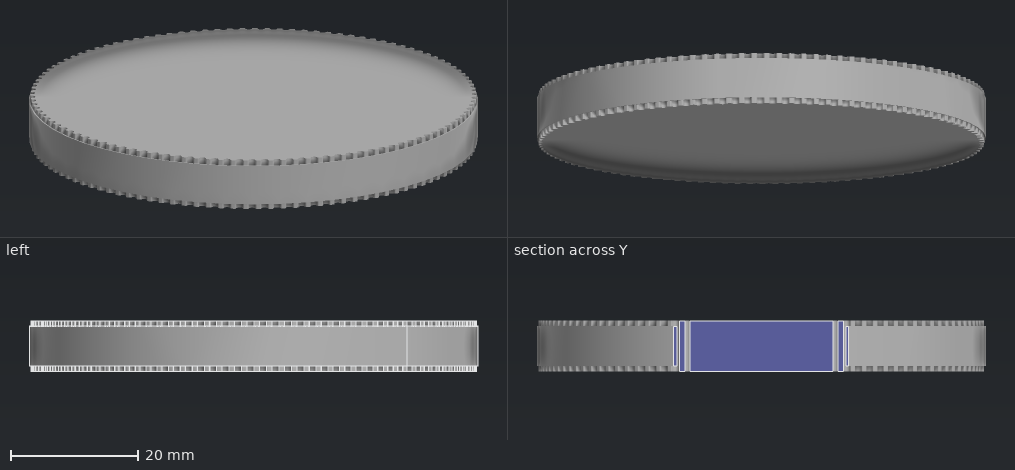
import cadquery as cq
import math

band_diameter = 70.65
band_thickness = 0.255
pulley_height = 8.0
rim_height = 0.85

tooth_count = 111
root_diameter = 68.7
groove_root_radius = 0.55
tip_fillet = 0.2

band_radius = band_diameter / 2
tip_radius = band_radius - band_thickness
root_radius = root_diameter / 2
band_height = pulley_height - 2 * rim_height
pitch_angle = 2 * math.pi / tooth_count
first_groove_angle = -math.pi / 2


def polar(radius, angle):
    return (radius * math.cos(angle), radius * math.sin(angle))


def place(radial, sideways, groove_angle):
    """Turn a point given relative to a groove's centre line into X, Y."""
    return polar(math.hypot(radial, sideways), groove_angle + math.atan2(sideways, radial))


root_centre = root_radius + groove_root_radius
fillet_side = groove_root_radius + tip_fillet
fillet_centre = math.sqrt((tip_radius - tip_fillet) ** 2 - fillet_side ** 2)
land_start_angle = math.atan2(fillet_side, fillet_centre)
fillet_mid_angle = (math.pi / 2 - land_start_angle) / 2
fillet_mid_side = fillet_side - tip_fillet * math.cos(fillet_mid_angle)
fillet_mid_radial = fillet_centre + tip_fillet * math.sin(fillet_mid_angle)


def toothed_disc():
    outline = cq.Workplane("XY").moveTo(*polar(tip_radius, first_groove_angle - land_start_angle))
    for index in range(tooth_count):
        angle = first_groove_angle + index * pitch_angle
        outline = (
            outline
            .threePointArc(
                place(fillet_mid_radial, -fillet_mid_side, angle),
                place(fillet_centre, -groove_root_radius, angle),
            )
            .lineTo(*place(root_centre, -groove_root_radius, angle))
            .threePointArc(
                place(root_radius, 0, angle),
                place(root_centre, groove_root_radius, angle),
            )
            .lineTo(*place(fillet_centre, groove_root_radius, angle))
            .threePointArc(
                place(fillet_mid_radial, fillet_mid_side, angle),
                polar(tip_radius, angle + land_start_angle),
            )
            .threePointArc(
                polar(tip_radius, angle + pitch_angle / 2),
                polar(tip_radius, angle + pitch_angle - land_start_angle),
            )
        )
    return outline.close().extrude(pulley_height)


def band():
    return (
        cq.Workplane("XY")
        .workplane(offset=rim_height)
        .circle(band_radius)
        .circle(tip_radius)
        .extrude(band_height)
    )


result = toothed_disc().union(band())